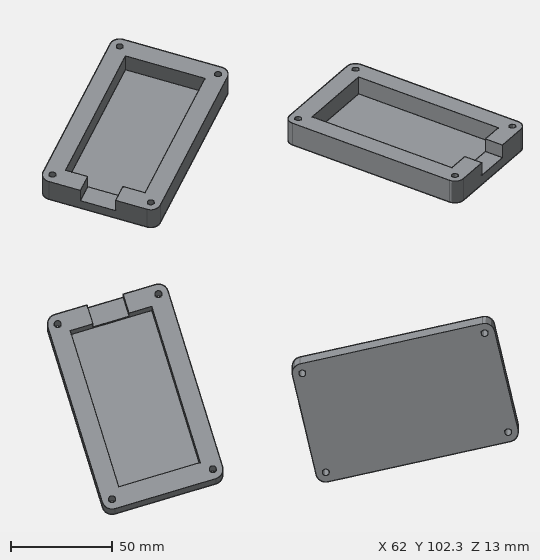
import cadquery as cq

WIDTH = 62.0
LENGTH = 102.3
HEIGHT = 13.0
CORNER_RADIUS = 5.0

HOLE_DIAMETER = 3.4
HOLE_SPACING_X = WIDTH - 2 * CORNER_RADIUS
HOLE_SPACING_Y = LENGTH - 2 * CORNER_RADIUS

POCKET_WIDTH = 42.0
POCKET_LENGTH = 82.2
POCKET_DEPTH = 10.0

NOTCH_WIDTH = 18.6
NOTCH_DEPTH = 7.5


def make_block():
    block = cq.Workplane("XY").box(WIDTH, LENGTH, HEIGHT, centered=(True, True, False))
    return block.edges("|Z").fillet(CORNER_RADIUS)


def make_screw_holes():
    return (
        cq.Workplane("XY")
        .rect(HOLE_SPACING_X, HOLE_SPACING_Y, forConstruction=True)
        .vertices()
        .circle(HOLE_DIAMETER / 2)
        .extrude(HEIGHT)
    )


def make_pocket():
    return (
        cq.Workplane("XY", origin=(0, 0, HEIGHT - POCKET_DEPTH))
        .rect(POCKET_WIDTH, POCKET_LENGTH)
        .extrude(POCKET_DEPTH)
    )


def make_notch():
    return (
        cq.Workplane("XZ", origin=(0, 0, HEIGHT - NOTCH_DEPTH / 2))
        .rect(NOTCH_WIDTH, NOTCH_DEPTH)
        .extrude(LENGTH / 2)
    )


result = make_block().cut(make_screw_holes()).cut(make_pocket()).cut(make_notch())